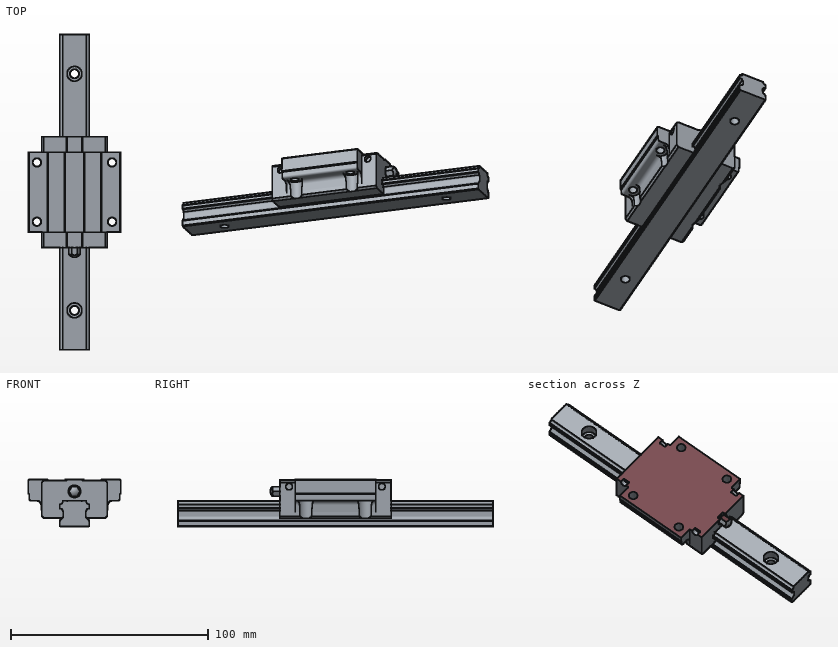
import cadquery as cq
import math

rail_length = 160.0
rail_half_width = 7.5
rail_height = 13.1
rail_top_half_width = 6.0
rail_waist_half_width = 5.6
groove_radius = 1.0
upper_groove_z = 12.5
lower_groove_z = 8.2
waist_top = 7.7
waist_bottom = 5.0
foot_side_top = 2.9
side_bevel_width = 0.2
side_bevel_height = 0.5
waist_radius = 0.8
rail_base_chamfer = 0.5
rail_hole_pitch = 120.0
rail_hole_diameter = 4.5
rail_counterbore_diameter = 7.5
rail_counterbore_depth = 5.3

overall_height = 24.0
carriage_length = 56.3
carriage_bottom = 4.3
body_half_width = 16.6
bottom_chamfer = 1.1

block_length = 40.6
flange_half_width = 23.5
flange_top_chamfer = 0.5
flange_step_depth = 0.5
flange_step_z = 16.5
flange_bottom = 13.1
flange_edge_radius = 1.1
skirt_fillet = 2.2
skirt_top_half_width = 17.1
skirt_taper_bottom = 7.5
block_pad_half_width = 4.6
flange_pad_inner_half_width = 13.8
block_pad_slope = 0.5
block_relief_depth = 0.5

cap_top = 23.4
cap_pad_half_width = 3.7
cap_pad_height = 0.5
cap_pad_slope = 0.5
cap_chamfer = 1.0

mount_pitch_x = 38.0
mount_pitch_y = 30.0
mount_hole_diameter = 4.2
mount_clearance_diameter = 7.7
side_hole_diameter = 3.4
side_hole_depth = 2.4
side_hole_y = 23.5
side_hole_z = 20.3

nipple_z = 18.0
nipple_recess_diameter = 6.2
nipple_recess_depth = 1.6
hex_across_flats = 5.0
nipple_length = 5.0
dome_height = 1.1


def mirrored_profile(right_side):
    """Closed XZ outline from its right half, listed from bottom to top, on the plane Y = 0."""
    left_side = [(-x, z) for x, z in reversed(right_side)]
    return cq.Workplane("XZ").polyline(right_side + left_side).close()


def edges_at(solid, x, z):
    """The two lengthwise edges of a solid that pass through (x, z) and (-x, z)."""
    reach = 0.08
    boxes = [
        cq.selectors.BoxSelector(
            (side * x - reach, -rail_length, z - reach),
            (side * x + reach, rail_length, z + reach),
        )
        for side in (-1, 1)
    ]
    return solid.edges("|Y").edges(boxes[0] + boxes[1])


def rail_blank():
    """Rail bar without its holes; concave ball grooves run above and below its head edges."""
    groove_axis_x = rail_top_half_width + groove_radius
    mid_offset = groove_radius * math.sqrt(0.5)
    groove_mid_x = groove_axis_x - mid_offset
    bevel_x = rail_half_width - side_bevel_width
    head_top = upper_groove_z - groove_radius
    head_bottom = lower_groove_z + groove_radius
    bar = (
        cq.Workplane("XZ")
        .lineTo(rail_half_width - rail_base_chamfer, 0)
        .lineTo(rail_half_width, rail_base_chamfer)
        .lineTo(rail_half_width, foot_side_top)
        .lineTo(bevel_x, foot_side_top + side_bevel_height)
        .lineTo(rail_waist_half_width, waist_bottom)
        .lineTo(rail_waist_half_width, waist_top)
        .lineTo(rail_top_half_width, lower_groove_z)
        .threePointArc((groove_mid_x, lower_groove_z + mid_offset), (groove_axis_x, head_bottom))
        .lineTo(bevel_x, head_bottom)
        .lineTo(rail_half_width, head_bottom + side_bevel_height)
        .lineTo(rail_half_width, head_top - side_bevel_height)
        .lineTo(bevel_x, head_top)
        .lineTo(groove_axis_x, head_top)
        .threePointArc((groove_mid_x, upper_groove_z - mid_offset), (rail_top_half_width, upper_groove_z))
        .lineTo(rail_top_half_width, rail_height)
        .lineTo(0, rail_height)
        .mirrorY()
        .extrude(rail_length / 2, both=True)
    )
    for z in (waist_top, waist_bottom):
        bar = edges_at(bar, rail_waist_half_width, z).fillet(waist_radius)
    return bar


def make_rail():
    return (
        rail_blank()
        .faces(">Z")
        .workplane(origin=(0, 0, rail_height))
        .rarray(1.6, rail_hole_pitch, 1, 2)
        .cboreHole(rail_hole_diameter, rail_counterbore_diameter, rail_counterbore_depth)
    )


def end_cap_bar():
    """Bar over the whole carriage length with the profile of the end caps."""
    return mirrored_profile([
        (body_half_width - bottom_chamfer, carriage_bottom),
        (body_half_width, carriage_bottom + bottom_chamfer),
        (body_half_width, cap_top - cap_chamfer),
        (body_half_width - cap_chamfer, cap_top),
        (cap_pad_half_width + cap_pad_slope, cap_top),
        (cap_pad_half_width, cap_top + cap_pad_height),
    ]).extrude(carriage_length / 2, both=True)


def flanged_block():
    """Middle block with flanges, filleted underneath into a tapered skirt."""
    relief_z = overall_height - block_relief_depth
    flange_lower = flange_half_width - flange_step_depth
    block = mirrored_profile([
        (body_half_width - bottom_chamfer, carriage_bottom),
        (body_half_width, carriage_bottom + bottom_chamfer),
        (body_half_width, skirt_taper_bottom),
        (skirt_top_half_width, flange_bottom),
        (flange_lower, flange_bottom),
        (flange_lower, flange_step_z),
        (flange_half_width, flange_step_z + flange_step_depth),
        (flange_half_width, overall_height - flange_top_chamfer),
        (flange_half_width - flange_top_chamfer, overall_height),
        (flange_pad_inner_half_width, overall_height),
        (flange_pad_inner_half_width - block_pad_slope, relief_z),
        (block_pad_half_width + block_pad_slope, relief_z),
        (block_pad_half_width, overall_height),
    ]).extrude(block_length / 2, both=True)
    block = edges_at(block, skirt_top_half_width, flange_bottom).fillet(skirt_fillet)
    return edges_at(block, flange_lower, flange_bottom).fillet(flange_edge_radius)


def mounting_holes():
    """Through holes in the flanges, with bolt-head clearance cut into the skirt below."""
    holes = cq.Workplane("XY").rarray(mount_pitch_x, mount_pitch_y, 2, 2)
    through = holes.circle(mount_hole_diameter / 2).extrude(overall_height)
    clearance = holes.circle(mount_clearance_diameter / 2).extrude(flange_bottom)
    return through.union(clearance)


def side_holes():
    """Blind holes in both sides of each end cap."""
    bottom_to_bottom = 2 * (body_half_width - side_hole_depth)
    points = [(-side_hole_y, side_hole_z), (side_hole_y, side_hole_z)]
    rods = cq.Workplane("YZ").pushPoints(points).circle(side_hole_diameter / 2)
    core = cq.Workplane("XY").box(bottom_to_bottom, carriage_length, 2 * overall_height)
    return rods.extrude(body_half_width, both=True).cut(core)


def make_nipple():
    """Hexagonal grease nipple with a domed end, standing on the floor of its recess."""
    floor_y = nipple_recess_depth - carriage_length / 2
    hexagon = (
        cq.Workplane("XZ", origin=(0, floor_y, nipple_z))
        .polygon(6, hex_across_flats / math.cos(math.pi / 6))
        .extrude(nipple_recess_depth + nipple_length)
    )
    dome_radius = ((hex_across_flats / 2) ** 2 + dome_height**2) / (2 * dome_height)
    tip_y = -carriage_length / 2 - nipple_length
    rear_y = tip_y + 2 * dome_radius
    ball = (
        cq.Workplane("XY", origin=(0, 0, nipple_z))
        .moveTo(0, tip_y)
        .threePointArc((dome_radius, tip_y + dome_radius), (0, rear_y))
        .close()
        .revolve(360, (0, 0), (0, 1))
    )
    return hexagon.intersect(ball)


def make_carriage():
    nipple_recess = (
        cq.Workplane("XZ", origin=(0, -carriage_length / 2, nipple_z))
        .circle(nipple_recess_diameter / 2)
        .extrude(-nipple_recess_depth)
    )
    return (
        end_cap_bar()
        .union(flanged_block())
        .cut(rail_blank())
        .cut(mounting_holes())
        .cut(side_holes())
        .cut(nipple_recess)
    )


rail = make_rail()
carriage = make_carriage()
nipple = make_nipple()
result = cq.Compound.makeCompound([rail.val(), carriage.val(), nipple.val()])